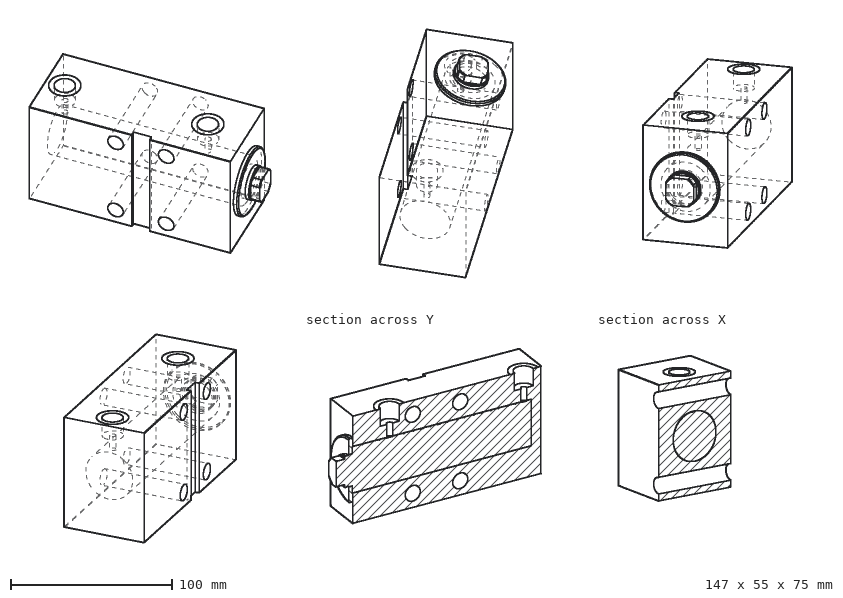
import cadquery as cq

OVERALL_LENGTH = 147.0

BLOCK_LENGTH = 135.0
BLOCK_WIDTH = 55.0
BLOCK_HEIGHT = 75.0
LONG_EDGE_CHAMFER = 0.26

GROOVE_START = 68.8
GROOVE_WIDTH = 12.0
GROOVE_DEPTH = 3.0

BOLT_HOLE_DIAMETER = 10.5
BOLT_SPACING_X = 34.0
BOLT_SPACING_Z = 55.0
BOLT_CENTER_X = 75.0

PORT_POSITIONS = (12.5, 108.5)
SPOTFACE_DIAMETER = 20.0
SPOTFACE_DEPTH = 0.07
PORT_DIAMETER = 13.2
PORT_DEPTH = 12.0
FEED_DIAMETER = 4.0

BORE_DIAMETER = 32.0
BACK_WALL = 7.4

GLAND_DIAMETER = 45.0
GLAND_THICKNESS = 3.1
GLAND_CHAMFER = 0.9

ROD_DIAMETER = 22.0
ROD_COLLAR_LENGTH = 3.0
ROD_COLLAR_CHAMFER = 0.6
DRIVE_DIAMETER = 21.2
DRIVE_ACROSS_FLATS = 18.1
DRIVE_CHAMFER = 0.5

GLAND_FRONT = BLOCK_LENGTH + GLAND_THICKNESS
COLLAR_FRONT = GLAND_FRONT + ROD_COLLAR_LENGTH
DRIVE_LENGTH = OVERALL_LENGTH - COLLAR_FRONT
BLOCK_TOP = BLOCK_HEIGHT / 2


def axial_cylinder(diameter, start, end):
    """Cylinder on the X axis between two X positions."""
    return cq.Workplane("YZ").workplane(offset=start).circle(diameter / 2).extrude(end - start)


def port_cylinder(x, diameter, depth):
    """Vertical cylinder running down from the top face of the housing."""
    return cq.Workplane("XY", origin=(x, 0, BLOCK_TOP)).circle(diameter / 2).extrude(-depth)


def make_housing():
    block = cq.Workplane("XY").box(
        BLOCK_LENGTH, BLOCK_WIDTH, BLOCK_HEIGHT, centered=(False, True, True)
    )
    block = block.edges("|X").chamfer(LONG_EDGE_CHAMFER)

    groove = cq.Workplane("XY").box(
        GROOVE_WIDTH, GROOVE_DEPTH, BLOCK_HEIGHT, centered=(False, False, True)
    )
    block = block.cut(groove.translate((GROOVE_START, -BLOCK_WIDTH / 2, 0)))

    bolt_holes = (
        cq.Workplane("XZ", origin=(BOLT_CENTER_X, 0, 0))
        .rarray(BOLT_SPACING_X, BOLT_SPACING_Z, 2, 2)
        .circle(BOLT_HOLE_DIAMETER / 2)
        .extrude(BLOCK_WIDTH / 2, both=True)
    )
    block = block.cut(bolt_holes)

    for x in PORT_POSITIONS:
        block = block.cut(port_cylinder(x, SPOTFACE_DIAMETER, SPOTFACE_DEPTH))
        block = block.cut(port_cylinder(x, PORT_DIAMETER, PORT_DEPTH))
        block = block.cut(port_cylinder(x, FEED_DIAMETER, BLOCK_TOP))

    return block.cut(axial_cylinder(BORE_DIAMETER, BACK_WALL, BLOCK_LENGTH))


def make_gland():
    ring = axial_cylinder(GLAND_DIAMETER, BLOCK_LENGTH, GLAND_FRONT)
    ring = ring.faces(">X").edges().chamfer(GLAND_CHAMFER)
    return ring.cut(axial_cylinder(ROD_DIAMETER, BLOCK_LENGTH, GLAND_FRONT))


def make_drive_end():
    """Round rod end with four wrench flats."""
    drive = axial_cylinder(DRIVE_DIAMETER, COLLAR_FRONT, OVERALL_LENGTH)
    drive = drive.faces(">X").edges().chamfer(DRIVE_CHAMFER)
    flats = cq.Workplane("XY").box(
        DRIVE_LENGTH, DRIVE_ACROSS_FLATS, DRIVE_ACROSS_FLATS, centered=(False, True, True)
    )
    return drive.intersect(flats.translate((COLLAR_FRONT, 0, 0)))


def make_piston_rod():
    piston = axial_cylinder(BORE_DIAMETER, BACK_WALL, BLOCK_LENGTH)
    collar = axial_cylinder(ROD_DIAMETER, BLOCK_LENGTH, COLLAR_FRONT)
    collar = collar.faces(">X").edges().chamfer(ROD_COLLAR_CHAMFER)
    return piston.union(collar).union(make_drive_end())


housing = make_housing()
gland = make_gland()
piston_rod = make_piston_rod()

result = cq.Compound.makeCompound([housing.val(), gland.val(), piston_rod.val()])